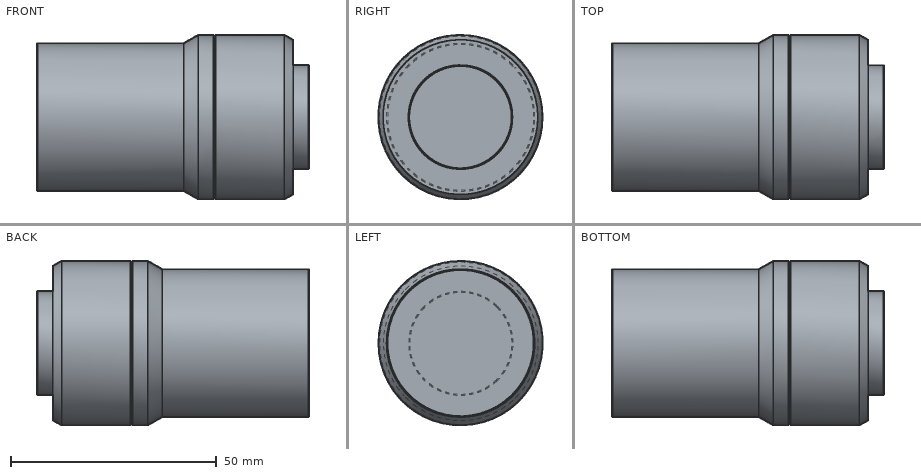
import cadquery as cq

total_length = 66.3
head_diameter = 40.0

barrel_diameter = 36.0
barrel_length = 35.8
barrel_edge_chamfer = 0.25

flare_length = 3.5
groove_start = 42.95
groove_floor_width = 0.3
groove_depth = 0.25
groove_bevel_length = 0.2
head_end = 62.3
head_chamfer_length = 2.1
head_chamfer_depth = 1.2

spigot_diameter = 25.3
spigot_edge_chamfer = 0.25

head_radius = head_diameter / 2
barrel_radius = barrel_diameter / 2
spigot_radius = spigot_diameter / 2
groove_radius = head_radius - groove_depth
groove_floor_end = groove_start + groove_floor_width

profile = [
    (0, 0),
    (0, barrel_radius - barrel_edge_chamfer),
    (barrel_edge_chamfer, barrel_radius),
    (barrel_length, barrel_radius),
    (barrel_length + flare_length, head_radius),
    (groove_start, head_radius),
    (groove_start, groove_radius),
    (groove_floor_end, groove_radius),
    (groove_floor_end + groove_bevel_length, head_radius),
    (head_end - head_chamfer_length, head_radius),
    (head_end, head_radius - head_chamfer_depth),
    (head_end, spigot_radius),
    (total_length - spigot_edge_chamfer, spigot_radius),
    (total_length, spigot_radius - spigot_edge_chamfer),
    (total_length, 0),
]

result = (
    cq.Workplane("XY")
    .polyline(profile)
    .close()
    .revolve(360, (0, 0, 0), (1, 0, 0))
    .translate((-total_length / 2, 0, 0))
)